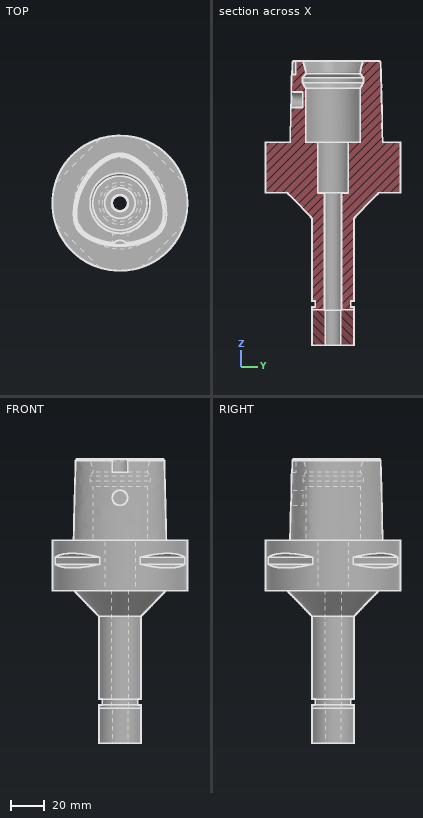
import cadquery as cq
import math


shank_height = 48.0
shank_base_radius = 27.5
shank_lobe_height = 2.0
shank_taper = 1 / 20
shank_chamfer_height = 1.2
shank_chamfer_width = 0.7
outline_steps = 24

flange_radius = 40.0
flange_bottom = -30.0
cone_top_radius = 27.0
cone_bottom = -45.0
nose_radius = 12.5
nose_groove_radius = 10.6
nose_groove_top = -93.8
nose_groove_bottom = -97.2

sleeve_top = -99.2
sleeve_bottom = -120.0

gripper_count = 4
gripper_first_angle = 45.0
gripper_center = -12.1
gripper_floor_height = 4.0
gripper_floor_distance = 35.4
gripper_flank_angle = 27.0

mouth_radius = 17.7
bore_radius = 16.0
relief_radius = 18.0
mouth_depth = 6.5
lip_depth = 7.6
relief_start_depth = 10.0
relief_end_depth = 12.8
relief_exit_depth = 16.2
bore_floor = 0.0

screw_hole_radius = 9.0
screw_hole_floor = flange_bottom
coolant_radius = 5.0
sleeve_hole_radius = 4.5

notch_depth = 8.0
notch_radius = 5.85
notch_inner_y = -22.0
side_hole_radius = 4.5
side_hole_height = 25.0
side_hole_floor_y = -18.0


def lobed_outline(height, mean_radius):
    """Closed constant-width curve with one lobe toward +Y."""

    def point(angle):
        lobe_phase = 3 * (angle - math.pi / 2)
        support = mean_radius + shank_lobe_height * math.cos(lobe_phase)
        slope = -3 * shank_lobe_height * math.sin(lobe_phase)
        x = support * math.cos(angle) - slope * math.sin(angle)
        y = support * math.sin(angle) + slope * math.cos(angle)
        return cq.Vector(x, y, height)

    points = [point(2 * math.pi * step / outline_steps) for step in range(outline_steps)]
    return cq.Wire.assembleEdges([cq.Edge.makeSpline(points, periodic=True)])


def shank():
    """Tapered lobed shank with a chamfer around its top edge."""
    chamfer_start = shank_height - shank_chamfer_height
    upper_radius = shank_base_radius - chamfer_start * shank_taper / 2
    base = lobed_outline(0, shank_base_radius)
    upper = lobed_outline(chamfer_start, upper_radius)
    top = lobed_outline(shank_height, upper_radius - shank_chamfer_width)
    taper = cq.Solid.makeLoft([base, upper], True)
    chamfer = cq.Solid.makeLoft([upper, top], True)
    return cq.Workplane(taper).union(cq.Workplane(chamfer))


def revolved(profile):
    """Turn a (radius, height) profile about Z."""
    return cq.Workplane("XZ").polyline(profile).close().revolve(360, (0, 0, 0), (0, 1, 0))


def turned_body():
    """Flange, neck cone and grooved nose."""
    return revolved([
        (0, 0),
        (flange_radius, 0),
        (flange_radius, flange_bottom),
        (cone_top_radius, flange_bottom),
        (nose_radius, cone_bottom),
        (nose_radius, nose_groove_top),
        (nose_groove_radius, nose_groove_top),
        (nose_groove_radius, nose_groove_bottom),
        (nose_radius, nose_groove_bottom),
        (nose_radius, sleeve_top),
        (0, sleeve_top),
    ])


def holder_bore():
    """Clamping bore with its relief, then the stepped hole below it."""
    return revolved([
        (0, shank_height),
        (mouth_radius, shank_height),
        (bore_radius, shank_height - mouth_depth),
        (bore_radius, shank_height - lip_depth),
        (relief_radius, shank_height - relief_start_depth),
        (relief_radius, shank_height - relief_end_depth),
        (bore_radius, shank_height - relief_exit_depth),
        (bore_radius, bore_floor),
        (screw_hole_radius, bore_floor),
        (screw_hole_radius, screw_hole_floor),
        (coolant_radius, screw_hole_floor),
        (coolant_radius, sleeve_top),
        (0, sleeve_top),
    ])


def gripper_groove(angle):
    """Trapezoidal groove cut straight across the flange rim at one angle."""
    overshoot = 2.0
    outer_distance = flange_radius + overshoot
    flank_rise = (outer_distance - gripper_floor_distance) * math.tan(math.radians(gripper_flank_angle))
    floor_half = gripper_floor_height / 2
    mouth_half = floor_half + flank_rise
    section = [
        (gripper_floor_distance, gripper_center - floor_half),
        (outer_distance, gripper_center - mouth_half),
        (outer_distance, gripper_center + mouth_half),
        (gripper_floor_distance, gripper_center + floor_half),
    ]
    groove = cq.Workplane("XZ").polyline(section).close().extrude(flange_radius, both=True)
    return groove.rotate((0, 0, 0), (0, 0, 1), angle)


def notch():
    """Round-backed notch open at the top of the shank."""
    return (
        cq.Workplane("XY", origin=(0, notch_inner_y - notch_radius, shank_height - notch_depth))
        .circle(notch_radius)
        .extrude(notch_depth)
    )


def side_hole():
    """Blind radial hole on the -Y side, with a flat floor."""
    return (
        cq.Workplane("XZ", origin=(0, side_hole_floor_y, side_hole_height))
        .circle(side_hole_radius)
        .extrude(flange_radius)
    )


def make_holder():
    body = shank().union(turned_body()).cut(holder_bore()).cut(notch()).cut(side_hole())
    for index in range(gripper_count):
        body = body.cut(gripper_groove(gripper_first_angle + index * 360 / gripper_count))
    return body.solids()


def make_sleeve():
    return (
        cq.Workplane("XY", origin=(0, 0, sleeve_bottom))
        .circle(nose_radius)
        .circle(sleeve_hole_radius)
        .extrude(sleeve_top - sleeve_bottom)
    )


holder = make_holder()
sleeve = make_sleeve()

result = cq.Compound.makeCompound([holder.val(), sleeve.val()])